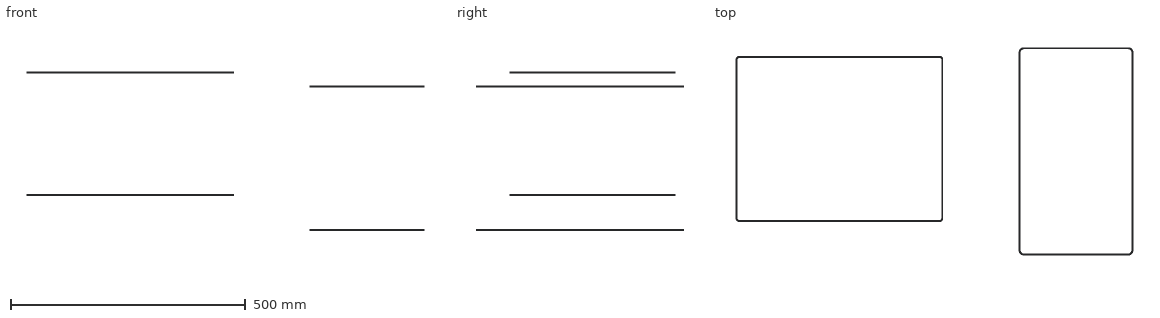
import cadquery as cq

overall_width = 843.93
overall_height = 336.45
plate_thickness = 1.0

wide_width = 439.0
wide_depth = 350.0
wide_corner_radius = 6.5

narrow_width = 241.0
narrow_depth = 440.0
narrow_corner_radius = 10.0

wide_center = ((wide_width - overall_width) / 2, 26.5)
narrow_center = ((overall_width - narrow_width) / 2, 0.0)

narrow_undersides = (0.0, 306.0)
wide_undersides = (74.5, overall_height - plate_thickness)


def rounded_plate(width, depth, corner_radius, center, underside_z):
    """Flat horizontal sheet with rounded corners."""
    return (
        cq.Workplane("XY")
        .box(width, depth, plate_thickness, centered=(True, True, False))
        .edges("|Z")
        .fillet(corner_radius)
        .translate((*center, underside_z))
    )


def wide_plate(underside_z):
    return rounded_plate(wide_width, wide_depth, wide_corner_radius, wide_center, underside_z)


def narrow_plate(underside_z):
    return rounded_plate(narrow_width, narrow_depth, narrow_corner_radius, narrow_center, underside_z)


wide_plates = [wide_plate(z) for z in wide_undersides]
narrow_plates = [narrow_plate(z) for z in narrow_undersides]

result = cq.Compound.makeCompound([plate.val() for plate in wide_plates + narrow_plates])